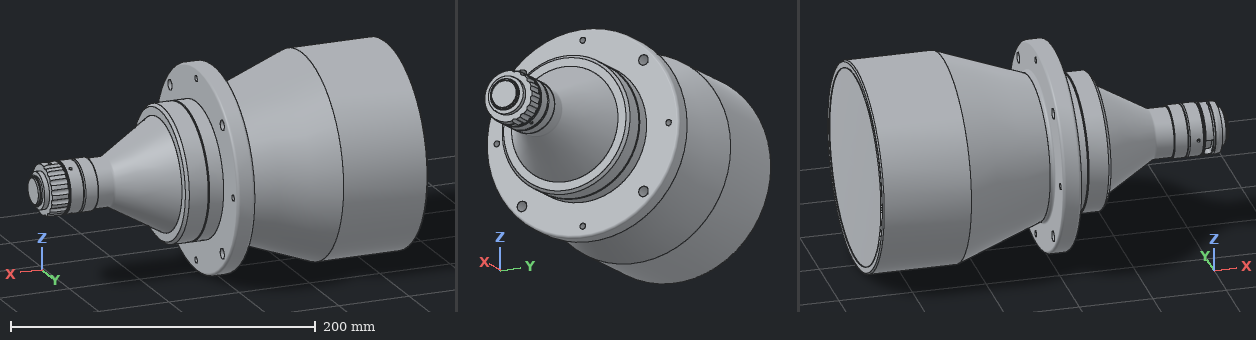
import cadquery as cq
import math


total_length = 251.65

barrel_radius = 71.0
barrel_length = 60.3
barrel_chamfer = 1.0
taper_angle = 20.0
taper_end_x = 119.5
flare_radius = 2.0
glass_radius = 66.0
glass_rim_depth = 0.5

flange_front_x = 122.8
flange_rear_x = 135.6
flange_radius = barrel_radius
flange_fillet = 2.0
bolt_circle_radius = 63.0
bolt_hole_diameter = 7.0
pin_hole_diameter = 4.0
flange_hole_count = 4
bolt_hole_first_angle = 45.0
pin_hole_first_angle = 0.0

collar_radius = 46.9
collar_joint_x = 146.1
collar_rear_x = 162.0
collar_chamfer = 2.0
joint_depth = 0.5
cone_angle = 30.0
neck_radius = 17.0
neck_blend_radius = 3.0
cone_end_x = 200.2

ring_radius = 18.0
rings_front_x = 212.3
rings_rear_x = 245.2
ring_edge_chamfer = 0.5
rear_chamfer_length = 2.5
rear_chamfer_depth = 0.6
focus_joint_x = 222.3
focus_joint_depth = 0.8
iris_joint_x = 232.9
iris_joint_depth = 0.9
iris_joint_floor = 0.8

set_screw_x = 228.7
set_screw_diameter = 2.0
set_screw_depth = 2.0
set_screw_count = 3

half_groove_front_x = 239.0
half_groove_width = 1.5
half_groove_depth = 1.5
half_groove_end_y = 1.1
slot_front_x = 233.5
slot_width = 5.2
slot_floor_radius = 14.2
slot_start_angle = 2.5
slot_end_angle = 39.0
scallop_count = 8
scallop_first_angle = 14.5
scallop_width = 3.8
scallop_radius = 2.0

cutter_radius = ring_radius + 1.0

thread_radius = 12.8
thread_end_x = 248.7
undercut_radius = 9.8
lip_front_x = 250.1
lip_rear_x = 250.4
lip_radius = 10.6
tip_radius = 9.1


def lens_body():
    """Revolve the complete outer outline about the X axis."""
    taper_end_radius = barrel_radius - (taper_end_x - barrel_length) * math.tan(math.radians(taper_angle))
    slope = math.tan(math.radians(cone_angle))
    cone_start_radius = neck_radius + (cone_end_x - collar_rear_x) * slope

    blend_reach = neck_blend_radius * math.tan(math.radians(cone_angle / 2))
    blend_start_x = cone_end_x - blend_reach * math.cos(math.radians(cone_angle))
    blend_start_radius = neck_radius + blend_reach * math.sin(math.radians(cone_angle))
    blend_end_x = cone_end_x + blend_reach

    iris_reach = iris_joint_floor / 2 + ring_edge_chamfer

    outline = (
        cq.Workplane("XY")
        .moveTo(0, 0)
        .threePointArc((glass_rim_depth / 4, glass_radius / 2), (glass_rim_depth, glass_radius))
        .lineTo(0, glass_radius)
        .lineTo(0, barrel_radius - barrel_chamfer)
        .lineTo(barrel_chamfer, barrel_radius)
        .lineTo(barrel_length, barrel_radius)
        .lineTo(taper_end_x, taper_end_radius)
        .lineTo(flange_front_x - flare_radius, taper_end_radius)
        .radiusArc((flange_front_x, taper_end_radius + flare_radius), -flare_radius)
        .lineTo(flange_front_x, flange_radius - flange_fillet)
        .radiusArc((flange_front_x + flange_fillet, flange_radius), flange_fillet)
        .lineTo(flange_rear_x - flange_fillet, flange_radius)
        .radiusArc((flange_rear_x, flange_radius - flange_fillet), flange_fillet)
        .lineTo(flange_rear_x, collar_radius)
        .lineTo(collar_joint_x - joint_depth, collar_radius)
        .lineTo(collar_joint_x, collar_radius - joint_depth)
        .lineTo(collar_joint_x + joint_depth, collar_radius)
        .lineTo(collar_rear_x - collar_chamfer, collar_radius)
        .lineTo(collar_rear_x, collar_radius - collar_chamfer)
        .lineTo(collar_rear_x, cone_start_radius)
        .lineTo(blend_start_x, blend_start_radius)
        .radiusArc((blend_end_x, neck_radius), -neck_blend_radius)
        .lineTo(rings_front_x, neck_radius)
        .lineTo(rings_front_x, ring_radius - ring_edge_chamfer)
        .lineTo(rings_front_x + ring_edge_chamfer, ring_radius)
        .lineTo(focus_joint_x - focus_joint_depth, ring_radius)
        .lineTo(focus_joint_x, ring_radius - focus_joint_depth)
        .lineTo(focus_joint_x + focus_joint_depth, ring_radius)
        .lineTo(iris_joint_x - iris_reach, ring_radius)
        .lineTo(iris_joint_x - iris_joint_floor / 2, ring_radius - ring_edge_chamfer)
        .lineTo(iris_joint_x - iris_joint_floor / 2, ring_radius - iris_joint_depth)
        .lineTo(iris_joint_x + iris_joint_floor / 2, ring_radius - iris_joint_depth)
        .lineTo(iris_joint_x + iris_joint_floor / 2, ring_radius - ring_edge_chamfer)
        .lineTo(iris_joint_x + iris_reach, ring_radius)
        .lineTo(rings_rear_x - rear_chamfer_length, ring_radius)
        .lineTo(rings_rear_x, ring_radius - rear_chamfer_depth)
        .lineTo(rings_rear_x, thread_radius)
        .lineTo(thread_end_x, thread_radius)
        .lineTo(thread_end_x, undercut_radius)
        .lineTo(lip_front_x, undercut_radius)
        .lineTo(lip_front_x, lip_radius)
        .lineTo(lip_rear_x, lip_radius)
        .lineTo(lip_rear_x, tip_radius)
        .lineTo(total_length, tip_radius)
        .lineTo(total_length, 0)
        .close()
    )
    return outline.revolve(360, (0, 0, 0), (1, 0, 0))


def flange_hole_pattern(diameter, first_angle):
    """Evenly spaced holes on the bolt circle, right through the flange."""
    return (
        cq.Workplane("YZ", origin=(flange_front_x, 0, 0))
        .polarArray(bolt_circle_radius, first_angle, 360, flange_hole_count)
        .circle(diameter / 2)
        .extrude(flange_rear_x - flange_front_x)
    )


def radial_hole(x, diameter, floor_radius, angle):
    """Cutter pointing away from the axis; the angle turns about X, from -Y towards -Z."""
    cutter = cq.Workplane("XZ", origin=(x, -floor_radius, 0)).circle(diameter / 2)
    return cutter.extrude(cutter_radius - floor_radius).rotate((0, 0, 0), (1, 0, 0), angle)


def set_screw_holes():
    """Evenly spaced radial holes, the first one on -Y."""
    holes = cq.Workplane()
    for index in range(set_screw_count):
        angle = index * 360 / set_screw_count
        hole = radial_hole(set_screw_x, set_screw_diameter, ring_radius - set_screw_depth, angle)
        holes = holes.add(hole)
    return holes.combine()


def half_groove():
    """Groove running round the -Y half of the rear ring."""
    groove = (
        cq.Workplane("YZ", origin=(half_groove_front_x, 0, 0))
        .circle(cutter_radius)
        .circle(ring_radius - half_groove_depth)
        .extrude(half_groove_width)
    )
    size = 4 * cutter_radius
    keep = cq.Workplane().box(size, size, size)
    keep = keep.translate((half_groove_front_x, half_groove_end_y - size / 2, 0))
    return groove.intersect(keep)


def arc_slot():
    """Slot round the lower -Y side of the rear ring: square upper end, round lower end."""
    sector = (
        cq.Workplane("XY")
        .moveTo(slot_front_x, -slot_floor_radius)
        .lineTo(slot_front_x + slot_width, -slot_floor_radius)
        .lineTo(slot_front_x + slot_width, -cutter_radius)
        .lineTo(slot_front_x, -cutter_radius)
        .close()
        .revolve(slot_end_angle - slot_start_angle, (0, 0, 0), (1, 0, 0))
        .rotate((0, 0, 0), (1, 0, 0), slot_start_angle)
    )
    round_end_radius = slot_width / 2
    round_end_floor = slot_floor_radius - round_end_radius
    round_end = radial_hole(slot_front_x + round_end_radius, slot_width, round_end_floor, slot_end_angle)
    core = cq.Workplane("YZ", origin=(slot_front_x, 0, 0)).circle(slot_floor_radius).extrude(slot_width)
    return sector.union(round_end.cut(core))


def grip_scallops():
    """Finger grip scallops along the rear ring, spread evenly over its +Y half."""
    length = rings_rear_x - iris_joint_x
    pitch = (180 - 2 * scallop_first_angle) / (scallop_count - 1)
    half_width = scallop_width / 2
    edge_height = math.sqrt(ring_radius**2 - half_width**2)
    center_radius = edge_height + math.sqrt(scallop_radius**2 - half_width**2)
    scallop = (
        cq.Workplane("YZ", origin=(iris_joint_x, 0, center_radius))
        .circle(scallop_radius)
        .extrude(length)
    )
    scallops = cq.Workplane()
    for index in range(scallop_count):
        angle = scallop_first_angle + index * pitch
        scallops = scallops.add(scallop.rotate((0, 0, 0), (1, 0, 0), -angle))
    return scallops.combine()


result = (
    lens_body()
    .cut(flange_hole_pattern(bolt_hole_diameter, bolt_hole_first_angle))
    .cut(flange_hole_pattern(pin_hole_diameter, pin_hole_first_angle))
    .cut(set_screw_holes())
    .cut(half_groove())
    .cut(arc_slot())
    .cut(grip_scallops())
)